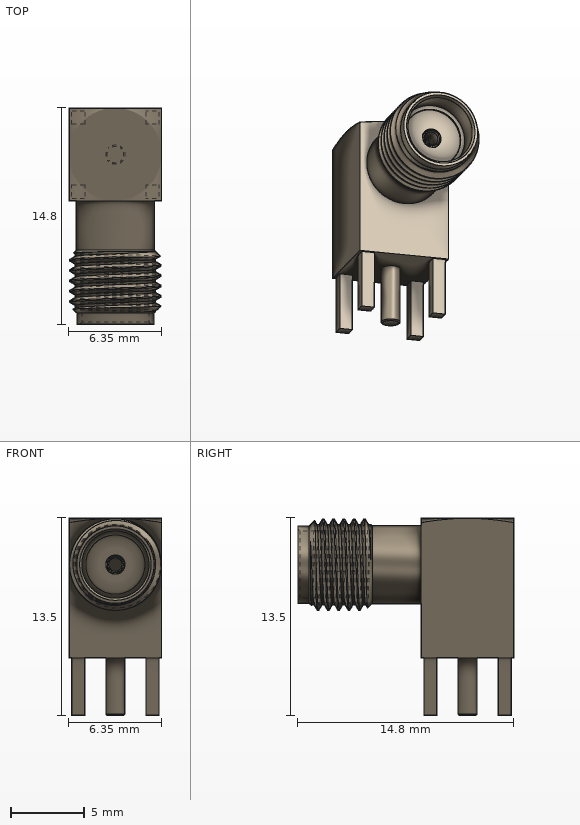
import cadquery as cq
import math

block_width = 6.35
half_width = block_width / 2
overall_height = 13.5
overall_length = 14.8
block_height = 9.56
block_bottom = half_width - block_height
corner_drop = 0.3

turning_margin = 0.15

pin_length = overall_height - block_height
signal_pin_diameter = 1.32
signal_pin_chamfer = 0.09
leg_width = 0.9
leg_spacing = 5.09

nose_end = overall_length - half_width
nose_length = 0.77
nose_diameter = 5.3
neck_diameter = 5.39
thread_start = 6.53
thread_end = nose_end - nose_length

thread_diameter = 6.28
root_diameter = 5.5
thread_turns = 8
thread_travel = 5.65
thread_pitch = thread_travel / thread_turns
crest_width = 0.09
flank_angle = 30.0
top_crest_position = 7.06
ridge_overlap = 0.05

socket_diameter = 4.6
socket_depth = 1.92
mouth_chamfer = 0.15
insulator_diameter = 4.05
insulator_recess = 0.15
contact_clearance_diameter = 1.32
contact_diameter = 1.27
contact_clearance_depth = 0.15
contact_hole_diameter = 0.92
contact_hole_depth = 1.78
contact_chamfer = 0.09


def rod(diameter, start, end):
    """Cylinder on the local Z axis between two positions."""
    return cq.Workplane("XY").workplane(offset=start).circle(diameter / 2).extrude(end - start)


def housing():
    """Square block whose top corners are turned to a shallow cone."""
    block = cq.Workplane("XY").box(block_width, block_width, block_height)
    block = block.translate((0, 0, half_width - block_height / 2))
    corner_radius = half_width * math.sqrt(2)
    slope = corner_drop / (corner_radius - half_width)
    cone_radius = corner_radius + turning_margin
    cone_bottom = half_width - slope * (cone_radius - half_width)
    envelope = (
        cq.Workplane("XZ")
        .moveTo(0, block_bottom)
        .lineTo(cone_radius, block_bottom)
        .lineTo(cone_radius, cone_bottom)
        .lineTo(half_width, half_width)
        .lineTo(0, half_width)
        .close()
        .revolve(360, (0, 0, 0), (0, 1, 0))
    )
    return block.intersect(envelope)


def board_pins():
    """Round signal pin and four square ground legs below the block."""
    signal_pin = (
        rod(signal_pin_diameter, block_bottom - pin_length, block_bottom)
        .faces("<Z")
        .chamfer(signal_pin_chamfer)
    )
    legs = (
        cq.Workplane("XY")
        .workplane(offset=block_bottom - pin_length)
        .rect(leg_spacing, leg_spacing, forConstruction=True)
        .vertices()
        .rect(leg_width, leg_width)
        .extrude(pin_length)
    )
    return signal_pin.union(legs)


def thread():
    """Right-hand thread on its root cylinder, with 45 degree end chamfers."""
    root_radius = root_diameter / 2
    crest_radius = thread_diameter / 2
    inner_radius = root_radius - ridge_overlap
    base_half = crest_width / 2 + (crest_radius - inner_radius) * math.tan(math.radians(flank_angle))
    helix_start = top_crest_position - 1.25 * thread_pitch
    helix = cq.Wire.makeHelix(thread_pitch, thread_travel, inner_radius)
    ridge = (
        cq.Workplane("XZ")
        .polyline([
            (inner_radius, -base_half),
            (crest_radius, -crest_width / 2),
            (crest_radius, crest_width / 2),
            (inner_radius, base_half),
        ])
        .close()
        .sweep(cq.Workplane(obj=helix), isFrenet=True)
        .translate((0, 0, helix_start))
    )
    end_radius = nose_diameter / 2
    envelope_radius = crest_radius + turning_margin
    chamfer = envelope_radius - end_radius
    envelope = (
        cq.Workplane("XZ")
        .moveTo(0, thread_start)
        .lineTo(end_radius, thread_start)
        .lineTo(envelope_radius, thread_start + chamfer)
        .lineTo(envelope_radius, thread_end - chamfer)
        .lineTo(end_radius, thread_end)
        .lineTo(0, thread_end)
        .close()
        .revolve(360, (0, 0, 0), (0, 1, 0))
    )
    helix_end = helix_start + thread_travel
    core = rod(root_diameter, helix_start - thread_pitch, helix_end + thread_pitch)
    return core.union(ridge).intersect(envelope)


def socket():
    """Stepped cavity with a chamfered mouth, contact clearance and contact hole."""
    shoulder = nose_end - socket_depth
    insulator_face = shoulder - insulator_recess
    hole_radius = contact_hole_diameter / 2
    mouth = (
        cq.Workplane("XY")
        .workplane(offset=nose_end - mouth_chamfer)
        .circle(socket_diameter / 2)
        .workplane(offset=mouth_chamfer)
        .circle(socket_diameter / 2 + mouth_chamfer)
        .loft()
    )
    clearance = (
        rod(contact_clearance_diameter, insulator_face - contact_clearance_depth, insulator_face)
        .cut(rod(contact_diameter, insulator_face - contact_clearance_depth, insulator_face))
    )
    countersink = (
        cq.Workplane("XY")
        .workplane(offset=insulator_face - contact_chamfer)
        .circle(hole_radius)
        .workplane(offset=contact_chamfer)
        .circle(hole_radius + contact_chamfer)
        .loft()
    )
    return (
        rod(socket_diameter, shoulder, nose_end)
        .union(mouth)
        .union(rod(insulator_diameter, insulator_face, shoulder))
        .union(clearance)
        .union(rod(contact_hole_diameter, insulator_face - contact_hole_depth, insulator_face))
        .union(countersink)
    )


def barrel():
    """Neck, thread and nose on local Z, turned to point along -Y."""
    body = (
        rod(neck_diameter, 0, thread_start)
        .union(thread())
        .union(rod(nose_diameter, thread_end, nose_end))
        .cut(socket())
    )
    return body.rotate((0, 0, 0), (1, 0, 0), 90)


result = housing().union(board_pins()).union(barrel())